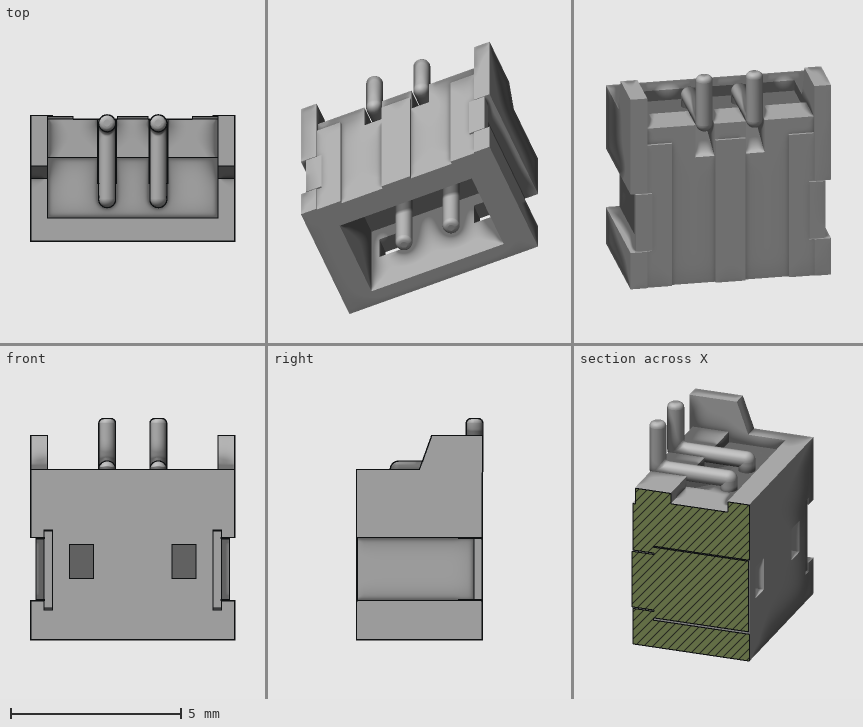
import cadquery as cq
import math

WIDTH = 6.0
DEPTH = 3.7
BODY_HEIGHT = 5.0
BACK_RECESS = 0.11
SIDE_WALL = 0.5
INNER_HALF = WIDTH / 2 - SIDE_WALL
BACK_FACE = DEPTH - BACK_RECESS

EAR_TOP = 6.0
EAR_TOP_FRONT = 2.21
EAR_FOOT_FRONT = 1.85

RIB_HEIGHT = 0.08
RIB_TOP = 4.5
CENTER_RIB_WIDTH = 0.9
SIDE_RIB_WIDTH = 0.75

RECESS_FRONT = 0.69
RECESS_BACK = 2.46
RECESS_FLOOR = BODY_HEIGHT - 0.33

NOTCH_DEPTH = 0.4
NOTCH_BOTTOM = 1.15
NOTCH_TOP = 3.0
SLOT_BOTTOM = 0.87
SLOT_TOP = 3.22
SLOT_BACK = 3.0

TAB_THICKNESS = 0.25
TAB_FRONT = 0.03
TAB_BOTTOM = 0.93
TAB_TOP = 3.2
TAB_CLEARANCE = 0.03
FLANGE_INSET = 0.16

FRONT_WALL = 0.47
CAVITY_HALF_WIDTH = 2.1
CAVITY_BACK = 2.9
CAVITY_TOP = 3.4
WINDOW_OFFSET = 1.5
WINDOW_WIDTH = 0.7
WINDOW_BOTTOM = 1.8
WINDOW_TOP = 2.8

PIN_OFFSET = 0.75
PIN_RADIUS = 0.25
PIN_FRONT = 1.24
PIN_BACK = 3.47
PIN_BOTTOM = 0.6
PIN_TOP = 6.5
PIN_BEND = BODY_HEIGHT
PIN_TIP_ROUND = 0.15
PIN_ELBOW_FILLET = 0.1

GROOVE_WIDTH = 0.56
GROOVE_FRONT = 1.7
GROOVE_ANGLE = 20.0


def block(x_range, y_range, z_range):
    """Box between the given limits on each axis."""
    size = [abs(r[1] - r[0]) for r in (x_range, y_range, z_range)]
    corner = tuple(min(r) for r in (x_range, y_range, z_range))
    return cq.Workplane("XY").box(*size, centered=False).translate(corner)


def side_profile(points, x_start, length):
    """Prism along +X from an outline of (y, z) points."""
    return cq.Workplane("YZ").polyline(points).close().extrude(length).translate((x_start, 0, 0))


def cylinder_between(start, end):
    """Round bar of pin radius between two points."""
    axis = cq.Vector(*end) - cq.Vector(*start)
    return cq.Workplane(cq.Solid.makeCylinder(PIN_RADIUS, axis.Length, cq.Vector(*start), axis))


def make_housing():
    """Body block with side walls, ears, rear ribs and top recess."""
    body = block((-INNER_HALF, INNER_HALF), (0, BACK_FACE), (0, BODY_HEIGHT))
    wall_outline = [
        (0, 0),
        (DEPTH, 0),
        (DEPTH, EAR_TOP),
        (EAR_TOP_FRONT, EAR_TOP),
        (EAR_FOOT_FRONT, BODY_HEIGHT),
        (0, BODY_HEIGHT),
    ]
    for x_start in (-WIDTH / 2, INNER_HALF):
        body = body.union(side_profile(wall_outline, x_start, SIDE_WALL))

    rib_ranges = [
        (-INNER_HALF, -INNER_HALF + SIDE_RIB_WIDTH),
        (-CENTER_RIB_WIDTH / 2, CENTER_RIB_WIDTH / 2),
        (INNER_HALF - SIDE_RIB_WIDTH, INNER_HALF),
    ]
    for rib_range in rib_ranges:
        body = body.union(block(rib_range, (BACK_FACE, BACK_FACE + RIB_HEIGHT), (0, RIB_TOP)))

    recess = block((-INNER_HALF, INNER_HALF), (RECESS_FRONT, RECESS_BACK), (RECESS_FLOOR, BODY_HEIGHT))
    return body.cut(recess)


def cut_cavity(body):
    """Mating cavity and the windows that open into it."""
    cavity_width = (-CAVITY_HALF_WIDTH, CAVITY_HALF_WIDTH)
    body = body.cut(block(cavity_width, (FRONT_WALL, CAVITY_BACK), (0, CAVITY_TOP)))
    for center in (-WINDOW_OFFSET, WINDOW_OFFSET):
        x_range = (center - WINDOW_WIDTH / 2, center + WINDOW_WIDTH / 2)
        body = body.cut(block(x_range, (0, FRONT_WALL), (WINDOW_BOTTOM, WINDOW_TOP)))
    return body


def add_tab(body, side):
    """Side notch, tab slot and solder tab; side is -1 or +1 along X."""
    outer = side * WIDTH / 2
    tab_outer = side * (WIDTH / 2 - NOTCH_DEPTH)
    tab_inner = tab_outer - side * TAB_THICKNESS
    flange_outer = side * (WIDTH / 2 - FLANGE_INSET)
    tab_x = (tab_inner, tab_outer)
    rear_z = (NOTCH_BOTTOM + TAB_CLEARANCE, NOTCH_TOP - TAB_CLEARANCE)

    body = body.cut(block((tab_outer, outer), (0, DEPTH), (NOTCH_BOTTOM, NOTCH_TOP)))
    body = body.cut(block(tab_x, (0, SLOT_BACK), (SLOT_BOTTOM, SLOT_TOP)))
    body = body.cut(block(tab_x, (SLOT_BACK, DEPTH), (NOTCH_BOTTOM, NOTCH_TOP)))

    plate = block(tab_x, (TAB_FRONT, SLOT_BACK), (TAB_BOTTOM, TAB_TOP))
    rear_plate = block(tab_x, (SLOT_BACK, DEPTH), rear_z)
    flange = block((tab_inner, flange_outer), (DEPTH - TAB_THICKNESS, DEPTH), rear_z)
    return body.union(plate).union(rear_plate).union(flange)


def cut_groove(body, x):
    """Sloped relief groove below one pin, open at the top and rear."""
    drop = (DEPTH - GROOVE_FRONT) * math.tan(math.radians(GROOVE_ANGLE))
    outline = [
        (GROOVE_FRONT, RECESS_FLOOR),
        (DEPTH, RECESS_FLOOR - drop),
        (DEPTH, BODY_HEIGHT),
        (GROOVE_FRONT, BODY_HEIGHT),
    ]
    return body.cut(side_profile(outline, x - GROOVE_WIDTH / 2, GROOVE_WIDTH))


def bend_ball(center):
    """Sphere that rounds the outside of a pin bend."""
    return cq.Workplane("XY").sphere(PIN_RADIUS).translate(center)


def make_pin(x):
    """Round pin: down into the cavity, back over the body, then up."""
    front_bend = (x, PIN_FRONT, PIN_BEND)
    back_bend = (x, PIN_BACK, PIN_BEND)
    mating_leg = cylinder_between(front_bend, (x, PIN_FRONT, PIN_BOTTOM))
    mating_leg = mating_leg.faces("<Z").edges().fillet(PIN_TIP_ROUND)
    solder_leg = cylinder_between(back_bend, (x, PIN_BACK, PIN_TOP))

    pin = cylinder_between(front_bend, back_bend).union(solder_leg).union(bend_ball(back_bend))
    pin = pin.edges("%ELLIPSE").fillet(PIN_ELBOW_FILLET)
    pin = pin.faces(">Z").edges().fillet(PIN_TIP_ROUND)
    return pin.union(mating_leg).union(bend_ball(front_bend))


housing = cut_cavity(make_housing())
for tab_side in (-1, 1):
    housing = add_tab(housing, tab_side)
for pin_x in (-PIN_OFFSET, PIN_OFFSET):
    housing = cut_groove(housing, pin_x)
    housing = housing.union(make_pin(pin_x))

result = housing